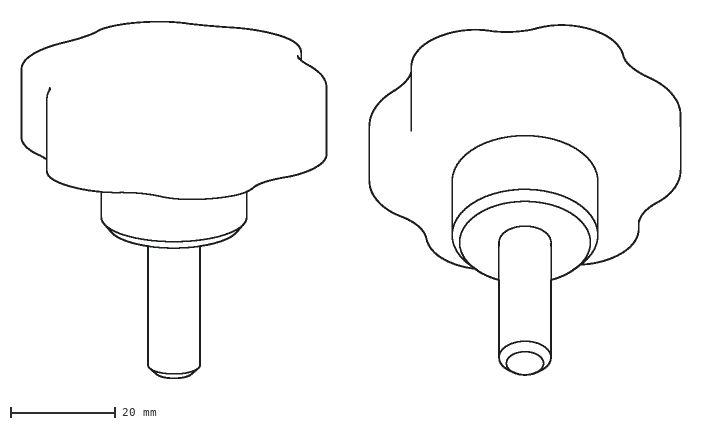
import cadquery as cq
import math

total_height = 65.0
lobe_count = 6
lobe_radius = 11.0
lobe_center_radius = 19.01
valley_radius = 9.0

underside_z = 44.9
dome_radius = 115.05
dome_edge_fillet = 1.5
underside_flat_radius = 22.1
underside_curve_radius = 35.75
underside_edge_fillet = 0.65

hub_diameter = 28.0
hub_bottom_z = 29.85
hub_chamfer_height = 1.8
hub_chamfer_width = 1.4

stud_diameter = 10.0
stud_chamfer = 1.4

outer_radius = lobe_center_radius + lobe_radius
middle_z = (underside_z + total_height) / 2
trim_margin = 0.65
half_pitch = math.pi / lobe_count
valley_center_radius = lobe_center_radius * math.cos(half_pitch) + math.sqrt(
    (lobe_radius + valley_radius) ** 2 - (lobe_center_radius * math.sin(half_pitch)) ** 2
)


def polar(radius, angle):
    return (radius * math.cos(angle), radius * math.sin(angle))


def tangent_point(lobe_angle, valley_angle):
    """Point where a lobe arc meets the neighbouring valley arc."""
    lobe_x, lobe_y = polar(lobe_center_radius, lobe_angle)
    valley_x, valley_y = polar(valley_center_radius, valley_angle)
    share = lobe_radius / (lobe_radius + valley_radius)
    return (lobe_x + share * (valley_x - lobe_x), lobe_y + share * (valley_y - lobe_y))


def lobed_prism():
    """Star-shaped prism with one lobe on the Y axis."""
    first_angle = math.pi / 2
    outline = cq.Workplane("XY").workplane(offset=underside_z - trim_margin)
    outline = outline.moveTo(*tangent_point(first_angle, first_angle - half_pitch))
    for index in range(lobe_count):
        lobe_angle = first_angle + 2 * half_pitch * index
        valley_angle = lobe_angle + half_pitch
        next_lobe_angle = valley_angle + half_pitch
        outline = outline.threePointArc(
            polar(outer_radius, lobe_angle), tangent_point(lobe_angle, valley_angle)
        ).threePointArc(
            polar(valley_center_radius - valley_radius, valley_angle),
            tangent_point(next_lobe_angle, valley_angle),
        )
    return outline.close().extrude(total_height - underside_z + 2 * trim_margin)


def head_envelope():
    """Turned body with a domed top and an underside that rises towards the rim."""
    rim_radius = outer_radius + trim_margin
    rim_middle_radius = (underside_flat_radius + rim_radius) / 2
    dome_center_z = total_height - dome_radius

    def dome_z(radius):
        return dome_center_z + math.sqrt(dome_radius**2 - radius**2)

    def underside_curve_z(radius):
        reach = radius - underside_flat_radius
        return underside_z + underside_curve_radius - math.sqrt(underside_curve_radius**2 - reach**2)

    return (
        cq.Workplane("XZ")
        .moveTo(0, underside_z)
        .lineTo(underside_flat_radius, underside_z)
        .threePointArc((rim_middle_radius, underside_curve_z(rim_middle_radius)),
                       (rim_radius, underside_curve_z(rim_radius)))
        .lineTo(rim_radius, dome_z(rim_radius))
        .threePointArc((rim_radius / 2, dome_z(rim_radius / 2)), (0, total_height))
        .close()
        .revolve(360, (0, 0, 0), (0, 1, 0))
    )


def rim_edges(low_z, high_z):
    """Selector for the edges whose centres lie within a height band."""
    return cq.selectors.BoxSelector(
        (-outer_radius, -outer_radius, low_z), (outer_radius, outer_radius, high_z)
    )


def head():
    """Head with rounded rims; only the wavy rim edges are splines."""
    body = lobed_prism().intersect(head_envelope())
    body = body.edges("%BSPLINE").edges(rim_edges(middle_z, total_height)).fillet(dome_edge_fillet)
    body = body.edges("%BSPLINE").edges(rim_edges(underside_z, middle_z)).fillet(underside_edge_fillet)
    return body


def hub():
    radius = hub_diameter / 2
    return (
        cq.Workplane("XZ")
        .moveTo(0, hub_bottom_z)
        .lineTo(radius - hub_chamfer_width, hub_bottom_z)
        .lineTo(radius, hub_bottom_z + hub_chamfer_height)
        .lineTo(radius, underside_z)
        .lineTo(0, underside_z)
        .close()
        .revolve(360, (0, 0, 0), (0, 1, 0))
    )


def stud():
    body = cq.Workplane("XY").circle(stud_diameter / 2).extrude(hub_bottom_z)
    return body.faces("<Z").chamfer(stud_chamfer)


result = head().union(hub()).union(stud())